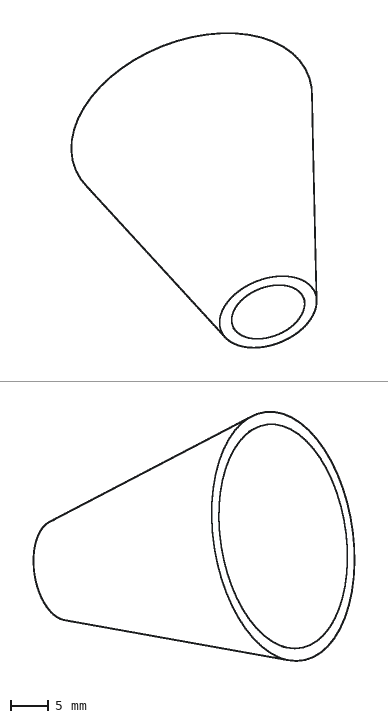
import cadquery as cq

length = 36.0
large_outer_diameter = 33.7
small_outer_diameter = 13.6
wall_thickness = 1.7

large_outer_radius = large_outer_diameter / 2
small_outer_radius = small_outer_diameter / 2
large_inner_radius = large_outer_radius - wall_thickness
small_inner_radius = small_outer_radius - wall_thickness


def conical_shell():
    """Revolve the sloping wall section around the X axis, large end at X = 0."""
    wall_section = (
        cq.Workplane("XZ")
        .moveTo(0, large_inner_radius)
        .lineTo(0, large_outer_radius)
        .lineTo(length, small_outer_radius)
        .lineTo(length, small_inner_radius)
        .close()
    )
    return wall_section.revolve(360, (0, 0, 0), (1, 0, 0))


result = conical_shell()